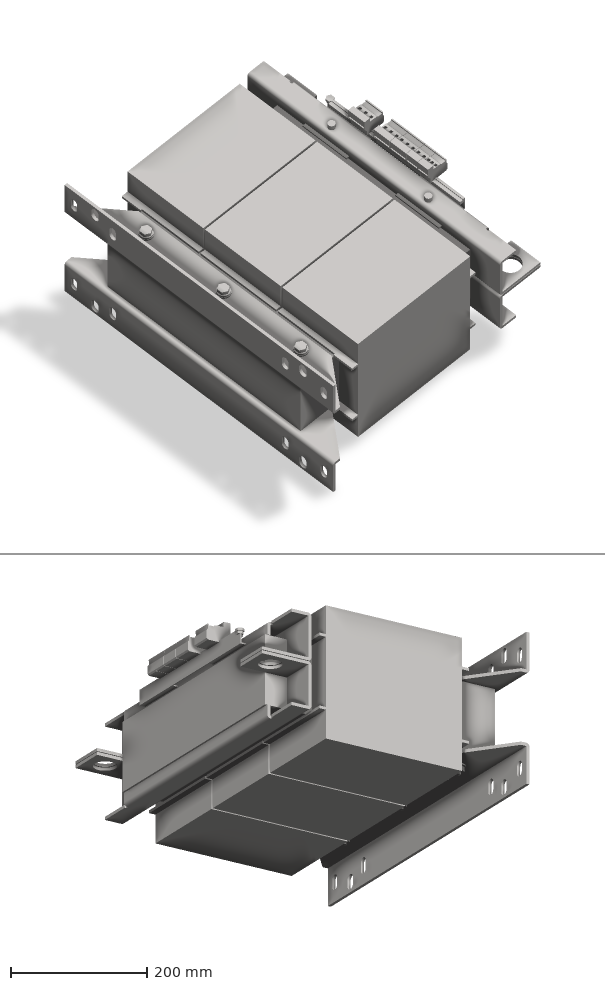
import cadquery as cq


SHEET = 5.0
BEND = 5.5
BEND_INSIDE = BEND - SHEET

CORE_HALF_X = 198.0
CORE_HALF_Z = 56.0
CORE_FRONT = 11.0
CORE_BACK = 409.0
LIMB_PITCH = 159.0
LIMB_POSITIONS = (-LIMB_PITCH, 0, LIMB_PITCH)
YOKE_DEPTH = 78.5
LIMB_WIDTH = 2 * (CORE_HALF_X - LIMB_PITCH)
COIL_WIDTH = 155.5
COIL_HALF_Z = 106.0
COIL_FRONT = 92.0
COIL_BACK = 328.0
COIL_ROW_HALF_X = LIMB_PITCH + COIL_WIDTH / 2
FLANGE_FRONT = 83.0
FLANGE_BACK = 339.0
FLANGE_THICKNESS = 4.5
EAR_FRONT = 80.0

FOOT_SHEET = 5.25
FOOT_HALF_X = 276.0
FOOT_HALF_Z = 121.0
FOOT_BACK = 76.0
FOOT_TAPER_START = 14.5
FOOT_SLOTS = ((256.5, 90.0, 12.5, 24.5), (213.5, 104.5, 15.0, 24.5), (177.0, 91.0, 13.0, 25.5))
FOOT_BOLT_Y = 51.5
WASHER_D = 24.0
WASHER_THICKNESS = 3.0
LOCK_WASHER_D = 22.0
LOCK_WASHER_THICKNESS = 3.0
HEX_ACROSS_CORNERS = 19.5
HEAD_HEIGHT = 6.0
NUT_WASHER_THICKNESS = 2.0
NUT_HEIGHT = 7.0
SHANK_D = 9.5
SHANK_END = 75.0

CLAMP_HALF_X = 259.5
CLAMP_INNER_X = 199.0
CLAMP_FRONT = 367.0
CLAMP_BACK = 405.5
CLAMP_END_BACK = 401.5
CLAMP_HALF_Z = 77.0
LUG_BOTTOM = 0.5
LUG_TOP = LUG_BOTTOM + SHEET
RELIEF_WIDTH = 5.0
RELIEF_DEPTH = 2.0
LUG_BACK = 452.0
LUG_HOLE_X = 229.5
LUG_HOLE_Y = 419.5
LUG_HOLE_D = 36.0
LUG_BOLT_Y = 387.0
LUG_BOLT_D = 17.0
LUG_BOLT_HEIGHT = 9.0

CARRIER_SCREW_X = 99.5
CARRIER_SCREW_Y = 380.5
CARRIER_HEAD_D = 12.0
CARRIER_HEAD_HEIGHT = 9.0
CARRIER_SHANK_D = 8.0
SPACER_HEIGHT = 4.5
BRACKET_INNER_X = 50.0
BRACKET_OUTER_X = 140.0
BRACKET_FRONT = 361.0
BRACKET_BACK = 415.5
BRACKET_THICKNESS = 2.0
RAIL_LEFT = -130.0
RAIL_FRONT = 405.0
RAIL_STEP_Y = 411.0
RAIL_STEP = 1.5
RAIL_BOTTOM = 77.0
RAIL_TOP = 85.0
EARTH_SCREW_X = -135.0
EARTH_SCREW_Y = 413.5
EARTH_HEAD_WIDTH = 14.0
EARTH_NUT_WIDTH = 10.5
EARTH_HEAD_BOTTOM = 81.0

BLOCK_GAP = 0.5
BLOCK_PROFILE = (
    (396.5, 117.0), (407.5, 117.0), (408.5, 109.0), (422.5, 108.0), (424.5, 106.0), (433.5, 106.0),
    (433.5, 108.0), (435.5, 108.0), (435.0, 100.5), (437.0, 97.5), (437.0, 85.0), (435.0, 83.0),
    (418.0, 83.0), (402.5, 81.0), (401.5, 93.0), (396.5, 100.0),
)
BLOCKS = ((-81.0, 34.0, 11.5, 3), (-28.5, 33.5, 11.5, 3), (5.0, 33.5, 11.5, 3), (38.5, 23.0, 11.5, 2),
          (62.0, 21.5, 7.0, 3))
ENTRY_WIDTH = 5.0
ENTRY_FRONT = 413.5
ENTRY_BACK = 418.5
ENTRY_FLOOR = 102.5
ENTRY_TOP = 110.5
GROOVE_BOTTOM = 101.5
GROOVE_TOP = 104.5
GROOVE_DEPTH = 2.0
GROOVE_END_WALL = 1.0


def block(x0, x1, y0, y1, z0, z1):
    """Box given by its limits along each axis."""
    return cq.Workplane("XY").box(x1 - x0, y1 - y0, z1 - z0, centered=False).translate((x0, y0, z0))


def prism_x(points, x0, x1):
    """Straight prism along X from a (Y, Z) outline."""
    return cq.Workplane("YZ").polyline(points).close().extrude(x1 - x0).translate((x0, 0, 0))


def cylinder(x, y, z0, z1, diameter):
    """Upright round bar."""
    return cq.Workplane("XY", origin=(x, y, z0)).circle(diameter / 2).extrude(z1 - z0)


def hexagon(x, y, z0, z1, across_corners):
    """Upright hexagonal bar."""
    return cq.Workplane("XY", origin=(x, y, z0)).polygon(6, across_corners).extrude(z1 - z0)


def sheet_tube(x0, x1, y0, y1, z0, z1):
    """Rectangular sheet metal tube along X with rounded bends."""
    outside = block(x0, x1, y0, y1, z0, z1).edges("|X").fillet(BEND)
    inside = block(x0, x1, y0 + SHEET, y1 - SHEET, z0 + SHEET, z1 - SHEET)
    return outside.cut(inside.edges("|X").fillet(BEND_INSIDE))


def fuse(parts):
    total = parts[0]
    for part in parts[1:]:
        total = total.union(part)
    return total


def both_x(shape):
    return shape.union(shape.mirror("YZ"))


def both_z(shape):
    return shape.union(shape.mirror("XY"))


def make_core():
    core = block(-CORE_HALF_X, CORE_HALF_X, CORE_FRONT, CORE_BACK, -CORE_HALF_Z, CORE_HALF_Z)
    window_half = (LIMB_PITCH - LIMB_WIDTH) / 2
    for x in (-LIMB_PITCH / 2, LIMB_PITCH / 2):
        core = core.cut(block(x - window_half, x + window_half, CORE_FRONT + YOKE_DEPTH,
                              CORE_BACK - YOKE_DEPTH, -CORE_HALF_Z, CORE_HALF_Z))
    return core


def make_coil(x):
    left = x - COIL_WIDTH / 2
    right = x + COIL_WIDTH / 2
    body = block(left, right, COIL_FRONT, COIL_BACK, -COIL_HALF_Z, COIL_HALF_Z)
    flange = block(left, right, FLANGE_FRONT, FLANGE_BACK, CORE_HALF_Z, CORE_HALF_Z + FLANGE_THICKNESS)
    return body.union(both_z(flange))


def make_flange_ears():
    ear = block(CORE_HALF_X, COIL_ROW_HALF_X, EAR_FRONT, COIL_FRONT,
                CORE_HALF_Z, CORE_HALF_Z + FLANGE_THICKNESS)
    return both_z(both_x(ear))


def make_foot():
    """Upper angle foot: a tapered leg on the yoke and an upright slotted flange."""
    leg_top = CORE_HALF_Z + FOOT_SHEET
    angle = prism_x([(0, CORE_HALF_Z), (FOOT_BACK, CORE_HALF_Z), (FOOT_BACK, leg_top),
                     (FOOT_SHEET, leg_top), (FOOT_SHEET, FOOT_HALF_Z), (0, FOOT_HALF_Z)],
                    -FOOT_HALF_X, FOOT_HALF_X)
    angle = angle.edges("|X and <Y and <Z").fillet(BEND)
    plan = (cq.Workplane("XY")
            .polyline([(-FOOT_HALF_X, 0), (FOOT_HALF_X, 0), (FOOT_HALF_X, FOOT_TAPER_START),
                       (CORE_HALF_X, FOOT_BACK), (-CORE_HALF_X, FOOT_BACK),
                       (-FOOT_HALF_X, FOOT_TAPER_START)])
            .close().extrude(FOOT_HALF_Z))
    foot = angle.intersect(plan)
    for x, z, width, length in FOOT_SLOTS:
        slot = (cq.Workplane("XZ", origin=(x, 0, z))
                .slot2D(length, width, 90).extrude(-FOOT_SHEET))
        foot = foot.cut(both_x(slot))
    return foot


def make_foot_bolt(x):
    seat = CORE_HALF_Z + FOOT_SHEET
    washer_top = seat + WASHER_THICKNESS
    head_bottom = washer_top + LOCK_WASHER_THICKNESS
    nut_top = -seat - NUT_WASHER_THICKNESS
    return fuse([
        cylinder(x, FOOT_BOLT_Y, seat, washer_top, WASHER_D),
        cylinder(x, FOOT_BOLT_Y, washer_top, head_bottom, LOCK_WASHER_D),
        hexagon(x, FOOT_BOLT_Y, head_bottom, head_bottom + HEAD_HEIGHT, HEX_ACROSS_CORNERS),
        cylinder(x, FOOT_BOLT_Y, nut_top, -seat, WASHER_D),
        hexagon(x, FOOT_BOLT_Y, nut_top - NUT_HEIGHT, nut_top, HEX_ACROSS_CORNERS),
        cylinder(x, FOOT_BOLT_Y, -SHANK_END, -seat, SHANK_D),
    ])


def make_clamp():
    """Upper rear clamp: a bridge over the yoke and a channel with a lifting lug at each end."""
    bridge = sheet_tube(-CLAMP_INNER_X, CLAMP_INNER_X, CLAMP_FRONT, CLAMP_BACK, 0, CLAMP_HALF_Z)
    bridge = bridge.intersect(block(-CLAMP_INNER_X, CLAMP_INNER_X, CLAMP_FRONT, CLAMP_BACK,
                                    CORE_HALF_Z, CLAMP_HALF_Z))
    end = sheet_tube(CLAMP_INNER_X, CLAMP_HALF_X, CLAMP_FRONT, LUG_BACK + 2 * BEND,
                     LUG_BOTTOM, CLAMP_HALF_Z)
    end = end.intersect(block(CLAMP_INNER_X, CLAMP_HALF_X, CLAMP_FRONT, LUG_BACK,
                              LUG_BOTTOM, CLAMP_HALF_Z))
    end = end.cut(block(CLAMP_INNER_X, CLAMP_HALF_X, CLAMP_END_BACK, LUG_BACK, LUG_TOP, CLAMP_HALF_Z))
    end = end.cut(block(CLAMP_INNER_X, CLAMP_INNER_X + RELIEF_WIDTH, CLAMP_END_BACK - RELIEF_DEPTH,
                        CLAMP_END_BACK, LUG_TOP, CLAMP_HALF_Z))
    end = end.cut(cylinder(LUG_HOLE_X, LUG_HOLE_Y, LUG_BOTTOM, LUG_TOP, LUG_HOLE_D))
    return bridge.union(both_x(end))


def make_lug_bolts():
    return both_x(cylinder(LUG_HOLE_X, LUG_BOLT_Y, LUG_TOP, LUG_TOP + LUG_BOLT_HEIGHT, LUG_BOLT_D))


def make_carrier():
    """Right-hand bracket foot under the clamp, with the screw that holds it to the yoke."""
    plate_bottom = CORE_HALF_Z + SPACER_HEIGHT
    plate_top = plate_bottom + BRACKET_THICKNESS
    foot = block(BRACKET_INNER_X, BRACKET_OUTER_X, BRACKET_FRONT, BRACKET_BACK, plate_bottom, plate_top)
    return fuse([
        foot,
        cylinder(CARRIER_SCREW_X, CARRIER_SCREW_Y, CORE_HALF_Z, plate_bottom, CARRIER_HEAD_D),
        cylinder(CARRIER_SCREW_X, CARRIER_SCREW_Y, plate_bottom, CLAMP_HALF_Z, CARRIER_SHANK_D),
        cylinder(CARRIER_SCREW_X, CARRIER_SCREW_Y, CLAMP_HALF_Z,
                 CLAMP_HALF_Z + CARRIER_HEAD_HEIGHT, CARRIER_HEAD_D),
    ])


def make_rail():
    """Terminal rail on its upright wall, which rises from the bracket feet."""
    wall = block(-BRACKET_OUTER_X, BRACKET_OUTER_X, BRACKET_BACK - BRACKET_THICKNESS, BRACKET_BACK,
                 CORE_HALF_Z + SPACER_HEIGHT, RAIL_BOTTOM)
    shelf = RAIL_TOP - RAIL_STEP
    rail = block(RAIL_LEFT, BRACKET_OUTER_X, RAIL_FRONT, BRACKET_BACK, RAIL_BOTTOM, RAIL_TOP)
    rail = rail.cut(block(RAIL_LEFT, BRACKET_OUTER_X, RAIL_FRONT, RAIL_STEP_Y, shelf, RAIL_TOP))
    earth_nut = hexagon(EARTH_SCREW_X, EARTH_SCREW_Y, RAIL_BOTTOM, EARTH_HEAD_BOTTOM, EARTH_NUT_WIDTH)
    earth_head = hexagon(EARTH_SCREW_X, EARTH_SCREW_Y, EARTH_HEAD_BOTTOM, RAIL_TOP, EARTH_HEAD_WIDTH)
    return fuse([wall, rail, earth_nut, earth_head])


def make_terminal_block(left, width, pitch, entries):
    right = left + width - BLOCK_GAP
    front = min(y for y, z in BLOCK_PROFILE)
    body = prism_x(BLOCK_PROFILE, left, right)
    body = body.cut(block(left + GROOVE_END_WALL, right - GROOVE_END_WALL, front, front + GROOVE_DEPTH,
                          GROOVE_BOTTOM, GROOVE_TOP))
    first = (left + right - pitch * (entries - 1)) / 2
    for i in range(entries):
        x = first + i * pitch
        body = body.cut(block(x - ENTRY_WIDTH / 2, x + ENTRY_WIDTH / 2, ENTRY_FRONT, ENTRY_BACK,
                              ENTRY_FLOOR, ENTRY_TOP))
    return body


parts = [make_core(), make_flange_ears(), both_z(make_foot()), both_z(make_clamp())]
parts += [make_coil(x) for x in LIMB_POSITIONS]
parts += [make_foot_bolt(x) for x in LIMB_POSITIONS]
parts += [make_lug_bolts(), both_x(make_carrier()), make_rail()]
parts += [make_terminal_block(*sizes) for sizes in BLOCKS]

result = cq.Workplane("XY").newObject([fuse(parts).val()])